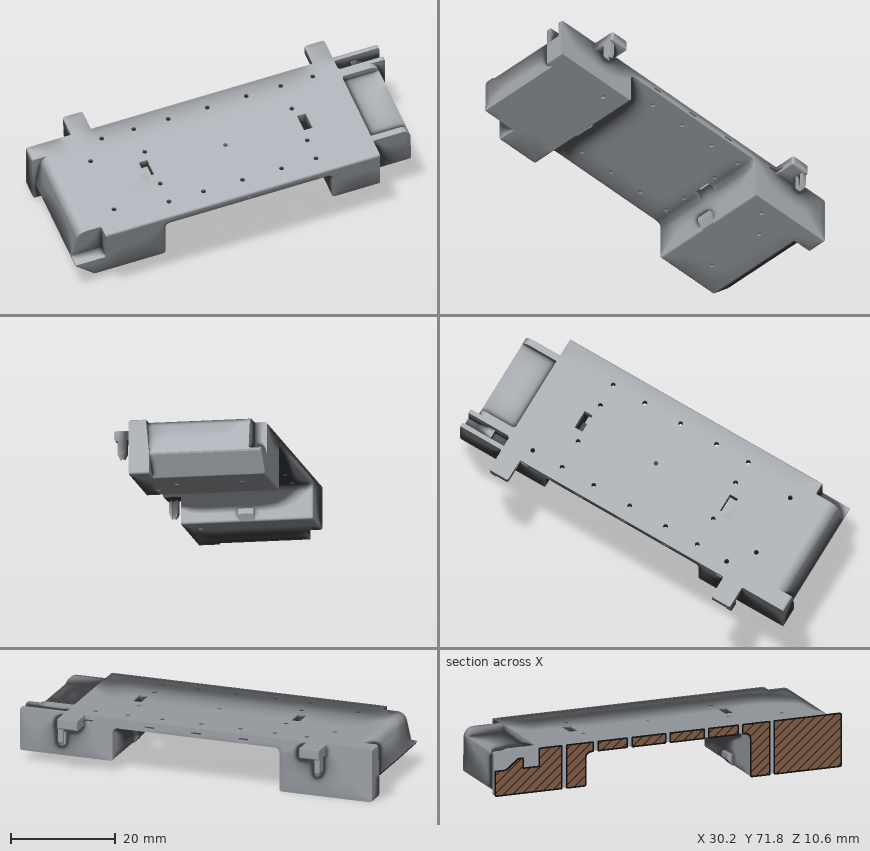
import cadquery as cq
import math

width = 25.6
half_length = 35.9
plate_thickness = 1.95

margin = 0.7

leg_inner_y = 17.0
front_leg_depth = 10.6
rear_leg_depth = 8.6
leg_root_radius = 1.0
leg_toe_radius = 0.4
edge_radius = 0.4

tab_reach = 4.6
tab_inner_y = 22.6
tab_outer_y = 26.7
tab_edge_radius = 0.4
tab_root_radius = 0.2
peg_outer_x = -3.95
peg_inner_x = -2.15
peg_thickness = 1.1
peg_bottom_z = -5.45
peg_tip_height = 0.85
peg_tip_inset = 0.4
peg_tip_outer_inset = 0.3
peg_groove_width = 0.7
peg_groove_depth = 0.65

front_roll_start_y = 32.4
front_roll_radius = 1.95
front_slope_angle = math.radians(77)
front_lip_z = -6.5
front_lip_height = 0.35
front_lip_slant = 0.15
front_under_run = 3.7
block_top_width = 3.3
block_width = 3.95
notch_x = 23.2
notch_y = -29.3
notch_floor_z = -6.3
notch_radius = 0.35

rear_roll_start_y = 32.4
rear_roll_radius = 1.95
rear_wall_y = 34.45
rear_wall_right_x = 21.8
pocket_left_x = 4.95
pocket_right_x = 20.5
pocket_depth = 1.6
pocket_corner_radius = 0.6
channel_left_x = 0.85
channel_right_x = 3.1
channel_floor_z = -3.6
catch_top_z = -1.6
catch_start_y = 29.95
catch_crest_y = 31.0
catch_end_y = 33.6

hook_left_x = 11.3
hook_right_x = 14.3
hook_reach = 1.1
hook_height = 2.4
hook_lip_height = 1.1
opening_left_x = 11.0
opening_right_x = 14.7
opening_length = 1.7

hole_diameter = 0.9
left_column_x = 2.95
right_column_x = 22.0
inner_columns_x = (8.9, 17.2)
column_ys = (0.0, 8.0, 15.0)
left_end_y = 21.55
front_pair_y = -25.5
front_pair_x = (7.4, 20.0)
dimple_x = 12.8
dimple_depth = 1.1

recess_z = -1.1
recess_height = 0.4
recess_radius = 1.0
recess_spacing = 9.6
sight_hole_diameter = 0.4
tab_recess_start_y = 21.0


def box(x0, x1, y0, y1, z0, z1):
    """Axis-aligned block between the given bounds."""
    return cq.Workplane("XY").box(x1 - x0, y1 - y0, z1 - z0, centered=False).translate((x0, y0, z0))


def side_profile(x0):
    """Sketch plane at x0 whose local axes are Y and Z."""
    return cq.Workplane("YZ", origin=(x0, 0, 0))


def make_body():
    """Plate with two legs, as one side outline extruded across the width."""
    body = (
        side_profile(0)
        .moveTo(-half_length, 0)
        .lineTo(half_length, 0)
        .lineTo(half_length, -rear_leg_depth)
        .lineTo(leg_inner_y, -rear_leg_depth)
        .lineTo(leg_inner_y, -plate_thickness)
        .lineTo(-leg_inner_y, -plate_thickness)
        .lineTo(-leg_inner_y, -front_leg_depth)
        .lineTo(-half_length, -front_leg_depth)
        .close()
        .extrude(width)
    )
    inner_walls = cq.selectors.BoxSelector(
        (-margin, -leg_inner_y - margin, -plate_thickness - margin),
        (width + margin, leg_inner_y + margin, -plate_thickness + margin),
    )
    body = body.edges("|X").edges(inner_walls).fillet(leg_root_radius)
    for y, z in ((leg_inner_y, -rear_leg_depth), (-leg_inner_y, -front_leg_depth)):
        toe = cq.selectors.NearestToPointSelector((width / 2, y, z))
        body = body.edges("|X").edges(toe).fillet(leg_toe_radius)
    body = body.edges("|X").edges("<Y or >Y").fillet(edge_radius)
    return body.faces(">X").edges(">Z").fillet(edge_radius)


def front_end_cut():
    """Space in front of the rolled top edge and the sloping wall, down to the lip."""
    roll_end_y = -front_roll_start_y - front_roll_radius * math.sin(front_slope_angle)
    roll_end_z = -front_roll_radius * (1 - math.cos(front_slope_angle))
    mid_angle = front_slope_angle / 2
    roll_mid = (
        -front_roll_start_y - front_roll_radius * math.sin(mid_angle),
        -front_roll_radius * (1 - math.cos(mid_angle)),
    )
    lip_y = roll_end_y - (roll_end_z - front_lip_z) / math.tan(front_slope_angle)
    under_y = lip_y + front_lip_slant
    under_z = front_lip_z - front_lip_height
    outside_y = -half_length - margin
    upper = (
        side_profile(0)
        .moveTo(-front_roll_start_y, 0)
        .threePointArc(roll_mid, (roll_end_y, roll_end_z))
        .lineTo(lip_y, front_lip_z)
        .lineTo(outside_y, front_lip_z)
        .lineTo(outside_y, margin)
        .lineTo(-front_roll_start_y, margin)
        .close()
        .extrude(width)
    )
    block = (
        cq.Workplane("XZ", origin=(0, -front_roll_start_y + margin, 0))
        .moveTo(-margin, margin)
        .lineTo(block_top_width, margin)
        .lineTo(block_top_width, 0)
        .lineTo(block_width, front_lip_z)
        .lineTo(-margin, front_lip_z)
        .close()
        .extrude(half_length)
    )
    under = (
        side_profile(block_width)
        .moveTo(outside_y, front_lip_z)
        .lineTo(lip_y, front_lip_z)
        .lineTo(under_y, under_z)
        .lineTo(under_y + front_under_run, -front_leg_depth)
        .lineTo(outside_y, -front_leg_depth)
        .close()
        .extrude(width)
    )
    return upper.cut(block).union(under)


def corner_notch():
    """Open corner at the front, floored by the lip."""
    notch = box(notch_x, width + margin, -half_length - margin, notch_y, notch_floor_z, margin)
    inner_edges = notch.edges("<Z").edges("<X or >Y").add(notch.edges("|Z").edges("<X and >Y"))
    return inner_edges.fillet(notch_radius)


def rear_end_cut():
    """Space behind the rounded rear wall and beside its right end."""
    roll_end_y = rear_roll_start_y + rear_roll_radius
    mid = rear_roll_radius * math.sqrt(0.5)
    behind = (
        side_profile(block_width)
        .moveTo(rear_roll_start_y, 0)
        .threePointArc(
            (rear_roll_start_y + mid, mid - rear_roll_radius),
            (roll_end_y, -rear_roll_radius),
        )
        .lineTo(rear_wall_y, -rear_leg_depth)
        .lineTo(half_length + margin, -rear_leg_depth)
        .lineTo(half_length + margin, margin)
        .lineTo(rear_roll_start_y, margin)
        .close()
        .extrude(width)
    )
    beside = box(
        rear_wall_right_x, width + margin, tab_outer_y, half_length + margin, -rear_leg_depth, margin
    )
    return behind.union(beside)


def rear_pocket():
    """Shallow pocket in the top of the rear wall, open to the rear."""
    pocket = box(pocket_left_x, pocket_right_x, tab_outer_y, half_length + margin, -pocket_depth, margin)
    return pocket.edges("|Z").edges("<X and <Y").fillet(pocket_corner_radius)


def cable_channel():
    """Slot through the rear corner block with a ramped catch on its floor."""
    channel = box(channel_left_x, channel_right_x, tab_outer_y, half_length + margin, channel_floor_z, margin)
    channel = channel.edges("|Z").edges(">X and <Y").fillet(pocket_corner_radius)
    catch = (
        side_profile(channel_left_x)
        .moveTo(catch_start_y, channel_floor_z)
        .lineTo(catch_start_y, catch_top_z)
        .lineTo(catch_crest_y, catch_top_z)
        .lineTo(catch_end_y, channel_floor_z)
        .close()
        .extrude(channel_right_x - channel_left_x)
    )
    return channel.cut(catch)


def make_tab_root():
    """Concave fillet where the +Y tab meets the side face, along its two sides and underside."""
    inner_y = tab_inner_y - tab_root_radius
    outer_y = tab_outer_y + tab_root_radius
    bottom_z = -plate_thickness - tab_root_radius
    root = box(-tab_root_radius, 0, inner_y, outer_y, bottom_z, 0)
    for y in (inner_y, outer_y):
        side = cq.Workplane("XY").center(-tab_root_radius, y).circle(tab_root_radius).extrude(bottom_z)
        root = root.cut(side)
    underside = (
        cq.Workplane("XZ")
        .center(-tab_root_radius, bottom_z)
        .circle(tab_root_radius)
        .extrude(-outer_y)
    )
    return root.cut(underside)


def make_rear_tab():
    """Rounded side tab with its peg, at the +Y position."""
    tab = box(-tab_reach, margin, tab_inner_y, tab_outer_y, -plate_thickness, 0)
    tab = tab.faces("<X").edges("|Z or <Z").fillet(tab_edge_radius)
    tab = tab.union(make_tab_root())
    peg_width = peg_inner_x - peg_outer_x
    peg_centre = ((peg_inner_x + peg_outer_x) / 2, tab_outer_y - peg_thickness / 2)
    peg_back_y = tab_outer_y - peg_thickness
    shank_bottom_z = peg_bottom_z + peg_tip_height
    shank = box(
        peg_outer_x,
        peg_inner_x,
        peg_back_y,
        tab_outer_y,
        shank_bottom_z,
        -plate_thickness / 2,
    )
    tip = (
        cq.Workplane("XY", origin=(*peg_centre, shank_bottom_z))
        .rect(peg_width, peg_thickness)
        .workplane(offset=-peg_tip_height)
        .center(0, -peg_tip_outer_inset / 2)
        .rect(peg_width - 2 * peg_tip_inset, peg_thickness - peg_tip_outer_inset)
        .loft()
    )
    groove = box(
        peg_centre[0] - peg_groove_width / 2,
        peg_centre[0] + peg_groove_width / 2,
        peg_back_y,
        peg_back_y + peg_groove_depth,
        peg_bottom_z,
        -plate_thickness,
    )
    return tab.union(shank.union(tip).cut(groove))


def make_rear_hook(leg_depth):
    """Snap hook on the inner face of a leg at the +Y position."""
    top_z = hook_height - leg_depth
    nose_y = leg_inner_y - hook_reach
    root_y = leg_inner_y + margin
    return (
        side_profile(hook_left_x)
        .moveTo(root_y, top_z)
        .lineTo(nose_y, top_z)
        .lineTo(nose_y, top_z - hook_lip_height)
        .lineTo(leg_inner_y, -leg_depth)
        .lineTo(root_y, -leg_depth)
        .close()
        .extrude(hook_right_x - hook_left_x)
    )


def hole_positions():
    """Centres of the through holes in the plate."""
    points = [(x, front_pair_y) for x in front_pair_x]
    for side in (-1, 1):
        points.append((left_column_x, side * left_end_y))
        points += [(x, side * column_ys[-1]) for x in inner_columns_x]
    for y in column_ys:
        for signed_y in {y, -y}:
            points += [(left_column_x, signed_y), (right_column_x, signed_y)]
    return points


def edge_recesses():
    """Half-round recesses, the centre sight hole, and the slanted recesses beside the tabs."""
    low_z = recess_z - recess_height / 2
    recess_points = [(0, i * recess_spacing) for i in (-1, 0, 1)]
    recesses = (
        cq.Workplane("XY", origin=(0, 0, low_z))
        .pushPoints(recess_points)
        .circle(recess_radius)
        .extrude(recess_height)
    )
    sight_hole = (
        side_profile(-margin)
        .center(0, recess_z)
        .circle(sight_hole_diameter / 2)
        .extrude(width + 2 * margin)
    )
    half_diagonal = tab_inner_y - tab_recess_start_y
    tab_root = (
        cq.Workplane("XY", origin=(0, tab_inner_y, low_z))
        .moveTo(0, -half_diagonal)
        .lineTo(half_diagonal, 0)
        .lineTo(0, half_diagonal)
        .lineTo(-half_diagonal, 0)
        .close()
        .extrude(recess_height)
    )
    return recesses.union(sight_hole).union(tab_root).union(tab_root.mirror("XZ"))


def round_under_slope(body):
    """Round the +X edge of the receding face below the front lip."""
    middle_z = (front_lip_z - front_leg_depth) / 2
    slope_edge = cq.selectors.BoxSelector(
        (width - margin, -half_length, middle_z - margin),
        (width + margin, -leg_inner_y - margin, middle_z + margin),
    )
    return body.edges("#X").edges(slope_edge).fillet(edge_radius)


def hook_opening():
    """Rectangular opening in the plate above the +Y hook."""
    opening_y = leg_inner_y - opening_length
    opening_bottom_z = -plate_thickness - leg_root_radius
    return box(opening_left_x, opening_right_x, opening_y, leg_inner_y, opening_bottom_z, margin)


def plate_holes():
    """Through holes in the plate."""
    return (
        cq.Workplane("XY", origin=(0, 0, margin))
        .pushPoints(hole_positions())
        .circle(hole_diameter / 2)
        .extrude(-front_leg_depth - 2 * margin)
    )


def centre_dimple():
    """Conical dimple near the middle of the top face."""
    top_centre = cq.Vector(dimple_x, 0, 0)
    down = cq.Vector(0, 0, -1)
    return cq.Workplane(cq.Solid.makeCone(hole_diameter / 2, 0, dimple_depth, pnt=top_centre, dir=down))


body = round_under_slope(make_body().cut(front_end_cut()))
body = body.cut(corner_notch())
body = body.cut(rear_end_cut()).cut(rear_pocket()).cut(cable_channel())

opening = hook_opening()
body = body.cut(opening).cut(opening.mirror("XZ"))
body = body.union(make_rear_hook(rear_leg_depth)).union(make_rear_hook(front_leg_depth).mirror("XZ"))

rear_tab = make_rear_tab()
body = body.union(rear_tab).union(rear_tab.mirror("XZ"))

result = body.cut(plate_holes()).cut(centre_dimple()).cut(edge_recesses())